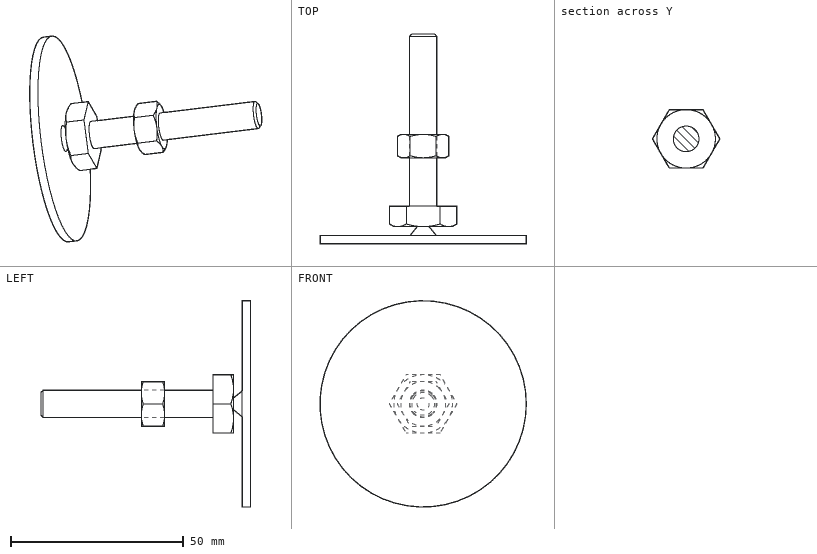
import cadquery as cq
import math

hex_ratio = math.cos(math.pi / 6)


plate_diameter = 60.0
plate_thickness = 2.5

foot_height = 2.5
foot_base_diameter = 7.6
foot_tip_diameter = 3.5
head_across_flats = 17.0
head_thickness = 6.0
shank_diameter = 8.0
shank_length = 50.0
shank_chamfer = 0.7

nut_across_flats = 13.0
nut_thickness = 6.8
nut_gap = 14.0

crown_angle = 30.0

head_start = plate_thickness + foot_height
shank_start = head_start + head_thickness
nut_start = shank_start + nut_gap


def cylinder(diameter, start, length):
    """Cylinder on the Y axis that begins at Y = start."""
    plane = cq.Workplane("XZ", origin=(0, start, 0))
    return plane.circle(diameter / 2).extrude(-length)


def crown_envelope(across_flats, start, thickness, crown_far_side):
    """Turned blank whose conical ends bevel the corners of a hexagon."""
    flat_radius = across_flats / 2
    corner_radius = flat_radius / hex_ratio
    crown_depth = (corner_radius - flat_radius) * math.tan(math.radians(crown_angle))
    end = start + thickness
    profile = (
        cq.Workplane("XY")
        .moveTo(0, start)
        .lineTo(flat_radius, start)
        .lineTo(corner_radius, start + crown_depth)
    )
    if crown_far_side:
        profile = profile.lineTo(corner_radius, end - crown_depth).lineTo(flat_radius, end)
    else:
        profile = profile.lineTo(corner_radius, end)
    return profile.lineTo(0, end).close().revolve(axisStart=(0, 0, 0), axisEnd=(0, 1, 0))


def crowned_hexagon(across_flats, start, thickness, crown_far_side):
    """Hexagonal prism with corners on the X axis and its near end crowned."""
    prism = (
        cq.Workplane("XZ", origin=(0, start, 0))
        .polygon(6, across_flats / hex_ratio)
        .extrude(-thickness)
    )
    return prism.intersect(crown_envelope(across_flats, start, thickness, crown_far_side))


def make_plate():
    return cylinder(plate_diameter, 0, plate_thickness)


def make_stud():
    foot = (
        cq.Workplane("XY")
        .moveTo(0, plate_thickness)
        .lineTo(foot_base_diameter / 2, plate_thickness)
        .lineTo(foot_tip_diameter / 2, head_start)
        .lineTo(0, head_start)
        .close()
        .revolve(axisStart=(0, 0, 0), axisEnd=(0, 1, 0))
    )
    head = crowned_hexagon(head_across_flats, head_start, head_thickness, crown_far_side=False)
    shank = cylinder(shank_diameter, shank_start, shank_length).faces(">Y").chamfer(shank_chamfer)
    return head.union(foot).union(shank)


def make_nut():
    blank = crowned_hexagon(nut_across_flats, nut_start, nut_thickness, crown_far_side=True)
    return blank.cut(cylinder(shank_diameter, nut_start, nut_thickness))


plate = make_plate()
stud = make_stud()
nut = make_nut()

result = cq.Compound.makeCompound([plate.val(), stud.val(), nut.val()])